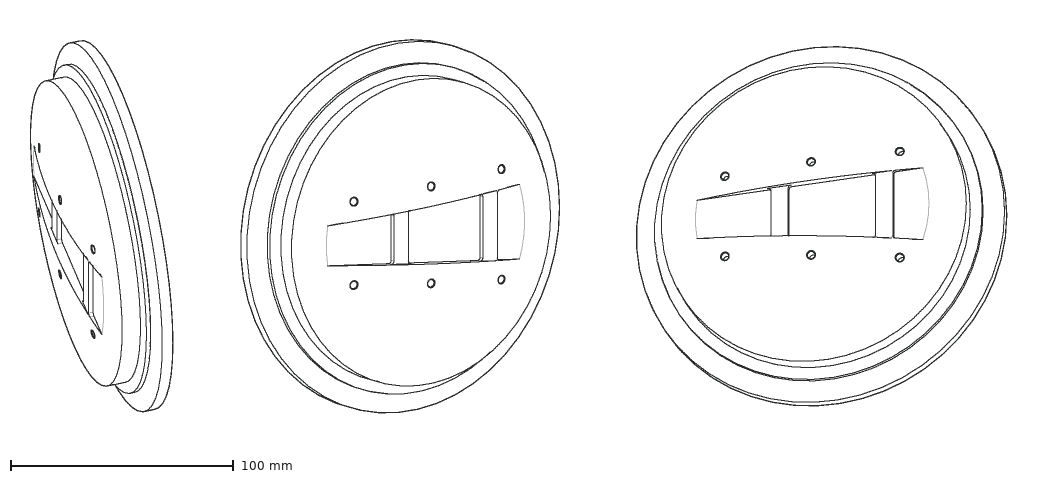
import cadquery as cq
import math

tilt = 38.0
flange_radius = 84.5
flange_thickness = 5.0
cone_top_radius = 74.4
cone_top = 7.6
ring_radius = 75.2
ring_top = 9.6
drum_radius = 70.0
drum_base = 10.8
drum_top = 19.5
dome_rise = 8.6

floor_radius = 53.5
pocket_mid_half_width = 13.2
taper = 0.077

rib_width = 8.0
rib_height = 2.2
rib_corner_radius = 1.4
rib_centers = (-14.5, 33.5)

hole_diameter = 3.4
hole_edge_break = 0.3
hole_depth = 5.0
hole_spacing = 40.0
hole_row_center = 0.3
hole_wall_offset = 9.0

dome_radius = (drum_radius**2 + dome_rise**2) / (2 * dome_rise)
dome_top = drum_top + dome_rise
dome_center = dome_top - dome_radius


def dome_height(radius):
    """Height of the dome surface at a distance from the disc axis."""
    return dome_center + math.sqrt(dome_radius**2 - radius**2)


def pocket_half_width(x):
    return pocket_mid_half_width + taper * x


def make_body():
    arc_middle = drum_radius / 2
    profile = (
        cq.Workplane("XZ")
        .lineTo(flange_radius, 0)
        .lineTo(flange_radius, flange_thickness)
        .lineTo(cone_top_radius, cone_top)
        .lineTo(ring_radius, cone_top)
        .lineTo(ring_radius, ring_top)
        .lineTo(drum_radius, drum_base)
        .lineTo(drum_radius, drum_top)
        .threePointArc((arc_middle, dome_height(arc_middle)), (0, dome_top))
        .close()
    )
    return profile.revolve(360, (0, 0, 0), (0, 1, 0))


def make_wedge(reach, bottom, height):
    """Tapered block spanning -reach to +reach along X."""
    narrow = pocket_half_width(-reach)
    wide = pocket_half_width(reach)
    corners = [(-reach, -narrow), (reach, -wide), (reach, wide), (-reach, narrow)]
    return cq.Workplane("XY").workplane(offset=bottom).polyline(corners).close().extrude(height)


def make_pocket():
    """Tapered flat-floored cut, leaving two cross ribs with rounded root corners."""
    floor = dome_height(floor_radius)
    reach = drum_radius
    wide = pocket_half_width(reach)
    ribs = (
        cq.Workplane("XY")
        .workplane(offset=floor)
        .pushPoints([(x, 0) for x in rib_centers])
        .rect(rib_width, 2 * wide)
        .extrude(rib_height)
    )
    bays = make_wedge(reach, floor, rib_height).cut(ribs)
    rounded_bays = bays.edges("|Z").fillet(rib_corner_radius)
    above_ribs = make_wedge(reach, floor + rib_height, dome_rise)
    return rounded_bays.union(above_ribs)


def hole_mouths():
    """Points where the hole axes meet the dome: three pairs along the pocket edges."""
    mouths = []
    for step in (-1, 0, 1):
        x = hole_row_center + step * hole_spacing
        y = pocket_half_width(x) + hole_wall_offset
        z = dome_height(math.hypot(x, y))
        mouths += [(x, y, z), (x, -y, z)]
    return mouths


def add_holes(body):
    """Cut the blind holes and break the edges of their mouths."""
    for x, y, z in hole_mouths():
        hole = cq.Workplane("XY", origin=(x, y, z - hole_depth)).circle(hole_diameter / 2)
        body = body.cut(hole.extrude(hole_depth + dome_rise))
        around_mouth = cq.selectors.BoxSelector(
            (x - hole_diameter, y - hole_diameter, z - hole_depth / 2),
            (x + hole_diameter, y + hole_diameter, z + hole_depth / 2),
        )
        upright = cq.selectors.ParallelDirSelector(cq.Vector(0, 0, 1))
        mouth = cq.selectors.SubtractSelector(around_mouth, upright)
        body = body.edges(mouth).chamfer(hole_edge_break)
    return body


disc = add_holes(make_body().cut(make_pocket()))
result = disc.rotate((0, 0, 0), (1, 0, 0), 90).rotate((0, 0, 0), (0, 0, 1), -tilt)